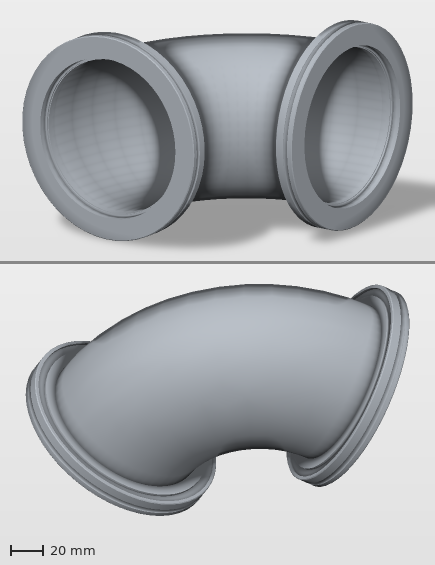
import cadquery as cq

overall_size = 172.9
flange_diameter = 129.8
flange_radius = flange_diameter / 2
tube_outer_radius = 50.8
tube_inner_radius = 49.0

flange_thickness = 12.1
edge_chamfer = 0.5
rim_groove_radius = 1.5
rim_groove_center = 4.8
back_groove_inner_radius = 57.4
back_groove_outer_radius = 62.6
back_groove_depth = 1.7
counterbore_radius = 51.0
counterbore_depth = 5.0
lip_radius = 49.5
lip_thickness = 1.0
tube_setback = counterbore_depth + lip_thickness

face_distance = overall_size - flange_radius
bend_radius = face_distance - flange_thickness
tube_insertion = flange_thickness - tube_setback


def make_tube():
    """Hollow 90 degree bend with a short straight stub inside each flange."""
    path = (
        cq.Workplane("XY")
        .moveTo(0, -bend_radius - tube_insertion)
        .lineTo(0, -bend_radius)
        .radiusArc((bend_radius, 0), bend_radius)
        .lineTo(bend_radius + tube_insertion, 0)
    )
    end_plane = cq.Plane(
        origin=(0, -bend_radius - tube_insertion, 0), xDir=(1, 0, 0), normal=(0, 1, 0)
    )
    return (
        cq.Workplane(end_plane)
        .circle(tube_outer_radius)
        .circle(tube_inner_radius)
        .sweep(path)
    )


def make_flange(plane):
    """Flange whose sealing face lies on the plane and faces along its normal."""
    flange = cq.Workplane(plane).circle(flange_radius).extrude(-flange_thickness)
    flange = flange.edges().chamfer(edge_chamfer)
    counterbore = cq.Workplane(plane).circle(counterbore_radius).extrude(-counterbore_depth)
    lip_bore = cq.Workplane(plane).circle(lip_radius).extrude(-flange_thickness)
    tube_socket = (
        cq.Workplane(plane)
        .workplane(offset=-flange_thickness)
        .circle(tube_outer_radius)
        .extrude(tube_insertion)
    )
    rim_groove = cq.Workplane(
        cq.Solid.makeTorus(
            flange_radius,
            rim_groove_radius,
            plane.origin - plane.zDir * rim_groove_center,
            plane.zDir,
        )
    )
    back_groove = (
        cq.Workplane(plane)
        .workplane(offset=-flange_thickness)
        .circle(back_groove_outer_radius)
        .circle(back_groove_inner_radius)
        .extrude(back_groove_depth)
    )
    for cutter in (counterbore, lip_bore, tube_socket, rim_groove, back_groove):
        flange = flange.cut(cutter)
    return flange


sealing_planes = [
    cq.Plane(origin=(0, -face_distance, 0), xDir=(1, 0, 0), normal=(0, -1, 0)),
    cq.Plane(origin=(face_distance, 0, 0), xDir=(0, 1, 0), normal=(1, 0, 0)),
]
tube = make_tube()
flanges = [make_flange(plane).val() for plane in sealing_planes]

result = cq.Compound.makeCompound([tube.val(), *flanges])